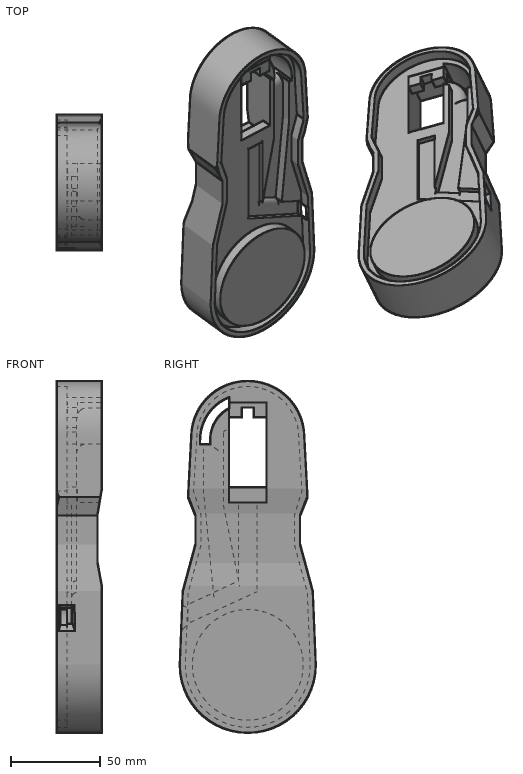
import cadquery as cq
import math

length = 196.8
width = 76.2
thickness = 25.4
lower_radius = width / 2
lower_center_z = lower_radius
upper_radius = 31.7
upper_center_z = length - upper_radius

hip_half_width, hip_z = 36.5, 79.1
waist_half_width, waist_low_z, waist_high_z = 29.3, 105.3, 121.7
shoulder_half_width, shoulder_z = 33.5, 131.9

front_shoulder_z = 134.8
clip_depth = 1.4
clip_low_z = 126.0

relief_depth = 2.4
relief_z = (81.9, 94.9, 122.6, 136.6)

rim_width = 3.1
cavity_depth = 6.0
disc_diameter = 62.0

window_half_width = 10.5
window_low_z, window_high_z = 137.4, 184.8
tab_low_z = 176.4
lip_back_x = 11.6
tab_recess = 0.2
notch_width, notch_high_z = 6.7, 181.9

groove_floor = 8.5
groove_half_width = 5.1
groove_top_z = 128.5
groove_bend_low_z, groove_bend_high_z = 79.0, 84.8
groove_slope = 0.46
groove_end_y = -35.5

channel_floor = 11.2
channel_inner_y, channel_outer_y = -13.5, -24.6
channel_inner_bend_z, channel_outer_bend_z = 127.2, 133.9
channel_foot_inner = (-4.5, 82.3)
channel_foot_outer = (-18.9, 75.5)
channel_ramp_radius = channel_floor - groove_floor
channel_open_low_z, channel_open_high_z = 168.3, 170.9

slot_center_y, slot_center_z = -1.2, 164.0
slot_outer_radius = 25.4
slot_inner_radius = 19.9
slot_low_z = 161.5
slot_lip_radius = 5.1

port_x = 5.7
port_outer_x, port_outer_low_z, port_outer_high_z = 9.3, 56.9, 71.9
port_inner_x, port_inner_low_z, port_inner_high_z = 6.7, 61.0, 69.7
port_outer_y, port_inner_y = -37.4, -33.3


def plate(points, start_x, end_x):
    """Straight-sided (Y, Z) outline extruded along X."""
    return cq.Workplane("YZ", origin=(start_x, 0, 0)).polyline(points).close().extrude(end_x - start_x)


def box(y_low, y_high, z_low, z_high, start_x, end_x):
    return plate([(y_low, z_low), (y_high, z_low), (y_high, z_high), (y_low, z_high)], start_x, end_x)


def body_outline(corner_z):
    return (
        cq.Workplane("YZ")
        .moveTo(lower_radius, lower_center_z)
        .lineTo(hip_half_width, hip_z)
        .lineTo(waist_half_width, waist_low_z)
        .lineTo(waist_half_width, waist_high_z)
        .lineTo(shoulder_half_width, corner_z)
        .lineTo(upper_radius, upper_center_z)
        .threePointArc((0, length), (-upper_radius, upper_center_z))
        .lineTo(-shoulder_half_width, corner_z)
        .lineTo(-waist_half_width, waist_high_z)
        .lineTo(-waist_half_width, waist_low_z)
        .lineTo(-hip_half_width, hip_z)
        .lineTo(-lower_radius, lower_center_z)
        .threePointArc((0, 0), (lower_radius, lower_center_z))
        .close()
    )


def rim_interior(depth):
    return body_outline(front_shoulder_z).offset2D(-rim_width).extrude(depth)


def shell():
    cavity = rim_interior(cavity_depth)
    disc = cq.Workplane("YZ").center(0, lower_center_z).circle(disc_diameter / 2).extrude(cavity_depth)
    return body_outline(shoulder_z).extrude(thickness).cut(cavity).union(disc)


def back_relief():
    low, flat_low, flat_high, high = relief_z
    relief_x = thickness - relief_depth
    points = [(thickness, low), (relief_x, flat_low), (relief_x, flat_high), (thickness, high)]
    return cq.Workplane("XZ").polyline(points).close().extrude(width, both=True)


def shoulder_clip(side):
    """Wedge that bevels one shoulder corner where it meets the open face."""
    lower_slope = (shoulder_half_width - waist_half_width) / (shoulder_z - waist_high_z)
    upper_slope = (upper_radius - shoulder_half_width) / (upper_center_z - shoulder_z)
    clip_low_y = waist_half_width + lower_slope * (clip_low_z - waist_high_z)
    clip_high_y = shoulder_half_width + upper_slope * (front_shoulder_z - shoulder_z)
    face = cq.Wire.makePolygon(
        [
            cq.Vector(0, side * clip_high_y, front_shoulder_z),
            cq.Vector(clip_depth, side * shoulder_half_width, shoulder_z),
            cq.Vector(0, side * clip_low_y, clip_low_z),
        ],
        close=True,
    )
    return cq.Solid.extrudeLinear(face, [], cq.Vector(0, side * clip_depth, 0))


def window():
    half = window_half_width
    lip_height = window_high_z - tab_low_z
    tab_relief = box(-half, half, tab_low_z, window_high_z, 0, cavity_depth + tab_recess)
    front = box(-half, half, window_low_z, tab_low_z, 0, lip_back_x)
    notch = box(-notch_width / 2, notch_width / 2, tab_low_z, notch_high_z, 0, lip_back_x)
    back = box(-half, half, window_low_z - lip_height, window_high_z, lip_back_x, thickness)
    return front.union(tab_relief).union(notch).union(back)


def groove():
    half = groove_half_width
    drop = groove_slope * (-half - groove_end_y)
    low_drop = groove_slope * (half - groove_end_y)
    points = [
        (half, groove_top_z),
        (half, groove_bend_low_z),
        (groove_end_y, groove_bend_low_z - low_drop),
        (groove_end_y, groove_bend_high_z - drop),
        (-half, groove_bend_high_z),
        (-half, groove_top_z),
    ]
    return plate(points, cavity_depth, groove_floor).intersect(rim_interior(groove_floor))


def channel():
    points = [
        (channel_inner_y, channel_inner_bend_z),
        channel_foot_inner,
        channel_foot_outer,
        (channel_outer_y, channel_outer_bend_z),
        (channel_outer_y, slot_low_z),
        (channel_inner_y, slot_low_z),
    ]
    foot_y = channel_foot_outer[0] - channel_foot_inner[0]
    foot_z = channel_foot_outer[1] - channel_foot_inner[1]
    ramp = cq.Solid.makeCylinder(
        channel_ramp_radius,
        length,
        cq.Vector(channel_floor, channel_foot_inner[0] - foot_y, channel_foot_inner[1] - foot_z),
        cq.Vector(0, foot_y, foot_z),
    )
    return plate(points, cavity_depth, channel_floor).cut(cq.Workplane(ramp))


def point_on_slot_arc(radius, angle):
    """Point at an angle from +Y about the slot center."""
    return (
        slot_center_y + radius * math.cos(angle),
        slot_center_z + radius * math.sin(angle),
    )


def angle_at_window(radius):
    """Angle at which a slot arc meets the -Y side of the window."""
    return math.acos((-window_half_width - slot_center_y) / radius)


inner_start = angle_at_window(slot_inner_radius)
inner_end = math.pi + math.asin((slot_center_z - slot_low_z) / slot_inner_radius)
inner_points = [
    point_on_slot_arc(slot_inner_radius, angle)
    for angle in (inner_start, (inner_start + inner_end) / 2, inner_end)
]


def slot():
    outer_start = angle_at_window(slot_outer_radius)
    outer_middle = (outer_start + math.pi) / 2
    outer_y = slot_center_y - slot_outer_radius
    return (
        cq.Workplane("YZ")
        .moveTo(*inner_points[0])
        .lineTo(*point_on_slot_arc(slot_outer_radius, outer_start))
        .threePointArc(point_on_slot_arc(slot_outer_radius, outer_middle), (outer_y, slot_center_z))
        .lineTo(outer_y, slot_low_z)
        .lineTo(*inner_points[2])
        .threePointArc(inner_points[1], inner_points[0])
        .close()
        .extrude(thickness)
    )


def channel_mouth():
    """Pocket at channel depth that joins the channel, the slot and the window."""
    return (
        cq.Workplane("YZ")
        .moveTo(*inner_points[0])
        .threePointArc(inner_points[1], inner_points[2])
        .lineTo(channel_inner_y, slot_low_z)
        .lineTo(channel_inner_y, channel_open_low_z)
        .lineTo(-window_half_width, channel_open_high_z)
        .close()
        .extrude(channel_floor)
    )


def slot_lip():
    """Stock between the sharp edges of the slot at channel depth and its rounded lip."""
    lip_back = channel_floor + slot_lip_radius
    lip_low_z = slot_low_z - slot_lip_radius
    slot_disc = cq.Workplane("YZ", origin=(channel_floor, slot_center_y, slot_center_z))
    core = slot_disc.circle(slot_inner_radius).extrude(thickness)
    rounded_core = core.faces("<X").edges().fillet(slot_lip_radius)
    ledge = box(-width, 0, 0, slot_low_z, channel_floor, thickness)
    rounded_ledge = ledge.faces("<X").edges(">Z").fillet(slot_lip_radius)
    stock = box(channel_outer_y, -window_half_width, lip_low_z, length, channel_floor, lip_back)
    stock = stock.intersect(slot_disc.circle(slot_outer_radius).extrude(slot_lip_radius))
    return stock.cut(rounded_core).cut(rounded_ledge)


def port_section(y, width_x, low_z, high_z):
    center = cq.Vector(port_x, y, (low_z + high_z) / 2)
    plane = cq.Plane(origin=center, xDir=(1, 0, 0), normal=(0, -1, 0))
    return cq.Workplane(plane).rect(width_x, high_z - low_z).wire().val()


def port():
    outer = port_section(port_outer_y, port_outer_x, port_outer_low_z, port_outer_high_z)
    inner = port_section(port_inner_y, port_inner_x, port_inner_low_z, port_inner_high_z)
    return cq.Workplane(cq.Solid.makeLoft([outer, inner], True))


result = shell().cut(back_relief())
for side in (-1, 1):
    result = result.cut(cq.Workplane(shoulder_clip(side)))
result = result.cut(window()).cut(groove()).cut(channel())
result = result.cut(slot()).cut(channel_mouth()).cut(slot_lip())
result = result.cut(port())